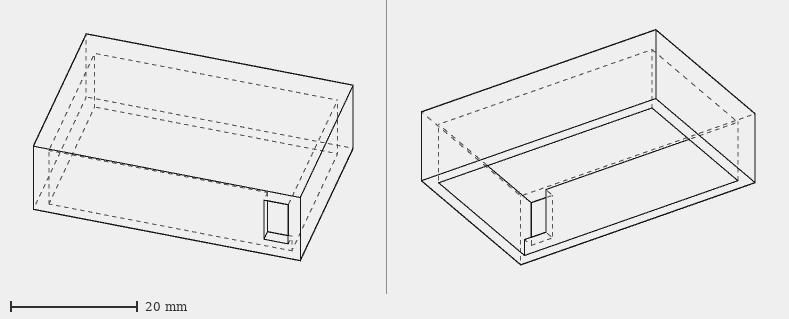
import cadquery as cq

length = 44.0
width = 29.0
height = 13.0

wall = 2.0

window_width = 4.0
window_height = 8.0


def make_block():
    """Plain block centred on the origin."""
    return cq.Workplane("XY").box(length, width, height)


def make_cavity():
    """Space below the roof and between the four side walls."""
    cavity_height = height - wall
    cavity = cq.Workplane("XY").box(length - 2 * wall, width - 2 * wall, cavity_height)
    return cavity.translate((0, 0, (cavity_height - height) / 2))


def make_window():
    """Opening through the front wall, near its upper +X corner."""
    center_x = length / 2 - wall - window_width / 2
    center_y = (wall - width) / 2
    center_z = height / 2 - wall - window_height / 2
    window = cq.Workplane("XY").box(window_width, wall, window_height)
    return window.translate((center_x, center_y, center_z))


result = make_block().cut(make_cavity()).cut(make_window())